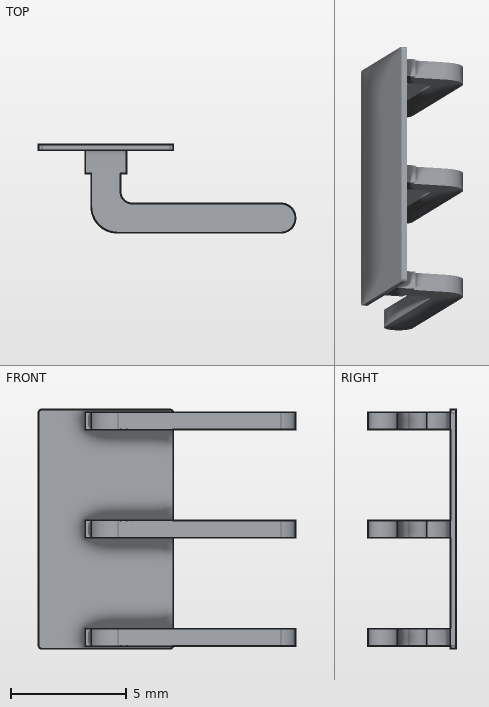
import cadquery as cq

overall_length = 11.17
overall_depth = 3.84

plate_width = 5.86
plate_height = 10.4
plate_thickness = 0.254
plate_corner_radius = 0.15

hook_count = 3
hook_pitch = 4.7
hook_thickness = 0.762

root_width = 1.8
root_depth = 1.016

bar_width = 1.28
outer_bend_radius = 1.15
inner_bend_radius = 0.5
tip_radius = bar_width / 2

plate_front_y = -plate_thickness
root_front_y = plate_front_y - root_depth
bar_front_y = -overall_depth
bar_back_y = bar_front_y + bar_width
bar_left_x = -bar_width / 2
bar_right_x = bar_width / 2
tip_x = overall_length - plate_width / 2
tip_center_x = tip_x - tip_radius


def make_plate():
    """Thin plate with its four corners rounded."""
    return (
        cq.Workplane("XY")
        .box(plate_width, plate_thickness, plate_height)
        .translate((0, -plate_thickness / 2, 0))
        .edges("|Y")
        .fillet(plate_corner_radius)
    )


def make_root():
    """Rectangular block on the front of the plate, centred on Z = 0."""
    return (
        cq.Workplane("XY")
        .box(root_width, root_depth, hook_thickness)
        .translate((0, plate_front_y - root_depth / 2, 0))
    )


def make_bar():
    """Bar that leaves the root, bends toward +X and ends in a full round."""
    return (
        cq.Workplane("XY")
        .workplane(offset=-hook_thickness / 2)
        .moveTo(bar_left_x, root_front_y)
        .lineTo(bar_left_x, bar_front_y + outer_bend_radius)
        .radiusArc((bar_left_x + outer_bend_radius, bar_front_y), -outer_bend_radius)
        .lineTo(tip_center_x, bar_front_y)
        .threePointArc((tip_x, bar_front_y + tip_radius), (tip_center_x, bar_back_y))
        .lineTo(bar_right_x + inner_bend_radius, bar_back_y)
        .radiusArc((bar_right_x, bar_back_y + inner_bend_radius), inner_bend_radius)
        .lineTo(bar_right_x, root_front_y)
        .close()
        .extrude(hook_thickness)
    )


hook = make_root().union(make_bar())
lowest_hook_z = -hook_pitch * (hook_count - 1) / 2

result = make_plate()
for index in range(hook_count):
    hook_z = lowest_hook_z + index * hook_pitch
    result = result.union(hook.translate((0, 0, hook_z)))